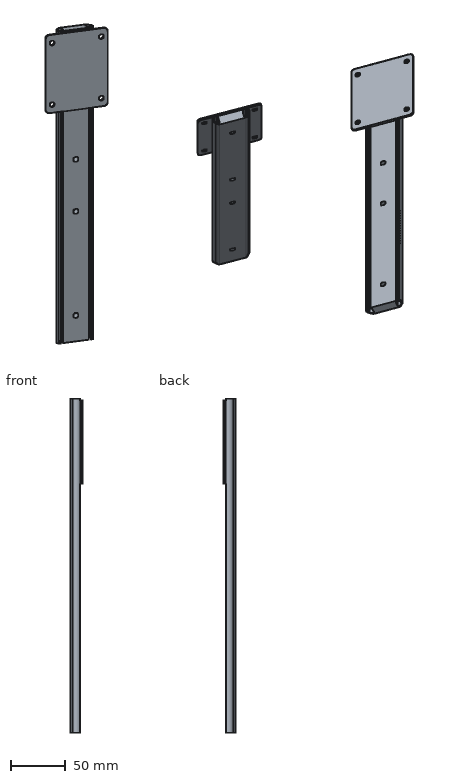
import cadquery as cq

RAIL_LENGTH = 304.8
RAIL_DEPTH = 8.8
FLAT_HALF_WIDTH = 12.5
LIP_SEAM = (2.5, 15.5)
LIP_SHOULDER = (1.0, 14.3)
LIP_PEAK = (5.5, 17.7)
LIP_TIP_Y = 16.5
LIP_WALL = 1.5
LIP_BEAD_Y = 15.0
CORE_HALF_WIDTH = 11.5
RIDGE_HALF_WIDTH = 12.5
RIDGE_DEPTH = 1.5
RAIL_HOLE_DIAMETER = 5.0
RAIL_HOLE_PITCH = RAIL_LENGTH / 6
RAIL_HOLE_STEPS = (-2.5, -0.5, 0.5, 2.5)

TOTAL_DEPTH = 11.3
PLATE_THICKNESS = 1.8
PLATE_WIDTH = 60.5
PLATE_HEIGHT = 76.2
PLATE_TOP_GAP = 1.5
PLATE_CORNER_RADIUS = 3.7
PLATE_HOLE_DIAMETER = 4.5
PLATE_HOLE_SPACING_Y = 48.0
PLATE_HOLE_SPACING_Z = 60.0

PLATE_FRONT_X = TOTAL_DEPTH - PLATE_THICKNESS
PAD_DEPTH = PLATE_FRONT_X - RAIL_DEPTH
PLATE_CENTER_Z = RAIL_LENGTH - PLATE_TOP_GAP - PLATE_HEIGHT / 2


def make_side(side):
    """Curved lip and the ball groove behind it; side is +1 or -1 along Y."""
    ridge_x = RAIL_DEPTH - RIDGE_DEPTH
    peak_x, peak_y = LIP_PEAK
    lip = (
        cq.Workplane("XY")
        .moveTo(0, 0)
        .lineTo(0, FLAT_HALF_WIDTH)
        .threePointArc(LIP_SHOULDER, LIP_SEAM)
        .threePointArc(LIP_PEAK, (RAIL_DEPTH, LIP_TIP_Y))
        .lineTo(RAIL_DEPTH, LIP_BEAD_Y)
        .lineTo(ridge_x, LIP_BEAD_Y)
        .lineTo(ridge_x, peak_y - LIP_WALL)
        .lineTo(peak_x, peak_y - LIP_WALL)
        .tangentArcPoint((LIP_WALL, FLAT_HALF_WIDTH), relative=False)
        .lineTo(LIP_WALL, CORE_HALF_WIDTH)
        .lineTo(ridge_x, CORE_HALF_WIDTH)
        .lineTo(ridge_x, RIDGE_HALF_WIDTH)
        .lineTo(RAIL_DEPTH, RIDGE_HALF_WIDTH)
        .lineTo(RAIL_DEPTH, 0)
        .close()
        .extrude(RAIL_LENGTH)
    )
    return lip if side > 0 else lip.mirror("XZ")


def holes_along_x(points, diameter):
    """Cylinders through the whole depth at the given (Y, Z) points."""
    return cq.Workplane("YZ").pushPoints(points).circle(diameter / 2).extrude(TOTAL_DEPTH)


def make_rail():
    middle = RAIL_LENGTH / 2
    points = [(0, middle + step * RAIL_HOLE_PITCH) for step in RAIL_HOLE_STEPS]
    rail = make_side(1).union(make_side(-1))
    return rail.cut(holes_along_x(points, RAIL_HOLE_DIAMETER))


def make_plate():
    plate = (
        cq.Workplane("YZ", origin=(PLATE_FRONT_X, 0, PLATE_CENTER_Z))
        .rect(PLATE_WIDTH, PLATE_HEIGHT)
        .extrude(PLATE_THICKNESS)
        .edges("|X")
        .fillet(PLATE_CORNER_RADIUS)
    )
    pad = (
        cq.Workplane("YZ", origin=(RAIL_DEPTH, 0, PLATE_CENTER_Z))
        .rect(2 * CORE_HALF_WIDTH, PLATE_HEIGHT)
        .extrude(PAD_DEPTH)
    )
    points = [
        (y * PLATE_HOLE_SPACING_Y / 2, PLATE_CENTER_Z + z * PLATE_HOLE_SPACING_Z / 2)
        for y in (-1, 1)
        for z in (-1, 1)
    ]
    return plate.union(pad).cut(holes_along_x(points, PLATE_HOLE_DIAMETER))


rail = make_rail()
plate = make_plate()
result = cq.Compound.makeCompound([rail.val(), plate.val()])